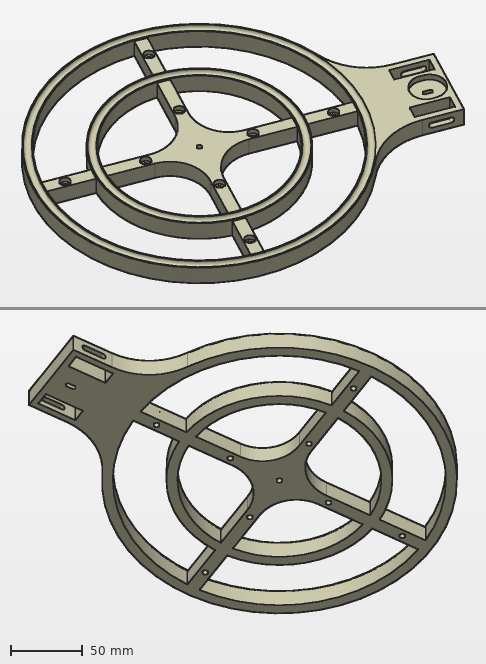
import cadquery as cq
import math

arm_thickness = 14.0
rim_step = 1.0
thickness = arm_thickness + rim_step
outer_radius = 123.8
tab_end_y = 185.7

ring_width = 7.7
outer_ring_mid_radius = outer_radius - ring_width / 2
inner_ring_mid_radius = 75.0
groove_radius = 3.0

arm_width = 10.0
hub_fillet_radius = 30.0

hole_diameter = 4.0
counterbore_diameter = 8.0
counterbore_depth = 4.0
hole_distances = (40.0, 100.0)

tab_half_width = 30.0
tab_straight_length = 31.0

window_width = 10.2
window_length = 30.0
window_side_margin = 4.5
window_end_margin = 5.0
side_slot_length = 19.0
side_slot_height = 5.0
side_slot_end_distance = 16.7

recess_width = 24.0
recess_length = 27.2
recess_depth = 5.0
recess_center_y = tab_end_y - 15.8
key_slot_length = 7.5
key_slot_width = 3.0


def ring(mid_radius):
    """Flat ring standing on the XY plane."""
    half_width = ring_width / 2
    return (
        cq.Workplane("XY")
        .circle(mid_radius + half_width)
        .circle(mid_radius - half_width)
        .extrude(thickness)
    )


def groove(mid_radius):
    """Torus centered on the top face; its lower half forms the groove."""
    return (
        cq.Workplane("XZ")
        .center(mid_radius, thickness)
        .circle(groove_radius)
        .revolve(360, (-mid_radius, 0), (-mid_radius, 1))
    )


def cross():
    """Four arms whose inner corners are rounded into a flared hub."""
    arm_length = 2 * outer_ring_mid_radius
    along_x = cq.Workplane("XY").rect(arm_length, arm_width).extrude(arm_thickness)
    along_y = cq.Workplane("XY").rect(arm_width, arm_length).extrude(arm_thickness)
    corner_box = cq.selectors.BoxSelector(
        (-arm_width, -arm_width, -arm_thickness), (arm_width, arm_width, 2 * arm_thickness)
    )
    arms = along_x.union(along_y)
    return arms.edges("|Z").edges(corner_box).fillet(hub_fillet_radius)


def tab():
    """Straight tab that flares out in arcs tangent to its sides and to the outer ring."""
    flare_start_y = tab_end_y - tab_straight_length
    flare_radius = (tab_half_width**2 + flare_start_y**2 - outer_radius**2) / (
        2 * (outer_radius - tab_half_width)
    )
    flare_center_x = tab_half_width + flare_radius
    ring_angle = math.atan2(flare_start_y, flare_center_x)
    foot_x = outer_radius * math.cos(ring_angle)
    foot_y = outer_radius * math.sin(ring_angle)
    middle_x = flare_center_x - flare_radius * math.cos(ring_angle / 2)
    middle_y = flare_start_y - flare_radius * math.sin(ring_angle / 2)
    return (
        cq.Workplane("XY")
        .moveTo(-tab_half_width, tab_end_y)
        .lineTo(tab_half_width, tab_end_y)
        .lineTo(tab_half_width, flare_start_y)
        .threePointArc((middle_x, middle_y), (foot_x, foot_y))
        .threePointArc((0, outer_ring_mid_radius), (-foot_x, foot_y))
        .threePointArc((-middle_x, middle_y), (-tab_half_width, flare_start_y))
        .close()
        .extrude(thickness)
    )


def cut_tab_openings(body):
    """Windows, side slots, obround recess and key slot of the tab."""
    window_x = tab_half_width - window_side_margin - window_width / 2
    window_y = tab_end_y - window_end_margin - window_length / 2
    windows = (
        cq.Workplane("XY")
        .pushPoints([(-window_x, window_y), (window_x, window_y)])
        .rect(window_width, window_length)
        .extrude(thickness)
    )
    body = body.cut(windows)
    side_slot_y = tab_end_y - side_slot_end_distance
    for side in (-1, 1):
        side_slot = (
            cq.Workplane("YZ", origin=(side * window_x, side_slot_y, thickness / 2))
            .slot2D(side_slot_length, side_slot_height)
            .extrude(side * tab_half_width)
        )
        body = body.cut(side_slot)
    recess = (
        cq.Workplane("XY", origin=(0, recess_center_y, thickness))
        .slot2D(recess_length, recess_width, 90)
        .extrude(-recess_depth)
    )
    key_slot = (
        cq.Workplane("XY", origin=(0, recess_center_y, 0))
        .slot2D(key_slot_length, key_slot_width, 90)
        .extrude(thickness)
    )
    return body.cut(recess).cut(key_slot)


def cut_screw_holes(body):
    """Counterbored holes on all four arms and a plain hole at the center."""
    points = []
    for distance in hole_distances:
        points += [(distance, 0), (-distance, 0), (0, distance), (0, -distance)]
    top = cq.Workplane("XY", origin=(0, 0, arm_thickness))
    counterbores = top.pushPoints(points).circle(counterbore_diameter / 2).extrude(-counterbore_depth)
    holes = top.pushPoints(points + [(0, 0)]).circle(hole_diameter / 2).extrude(-arm_thickness)
    return body.cut(counterbores).cut(holes)


body = cross().union(tab())
for mid_radius in (outer_ring_mid_radius, inner_ring_mid_radius):
    body = body.union(ring(mid_radius)).cut(groove(mid_radius))
result = cut_screw_holes(cut_tab_openings(body))